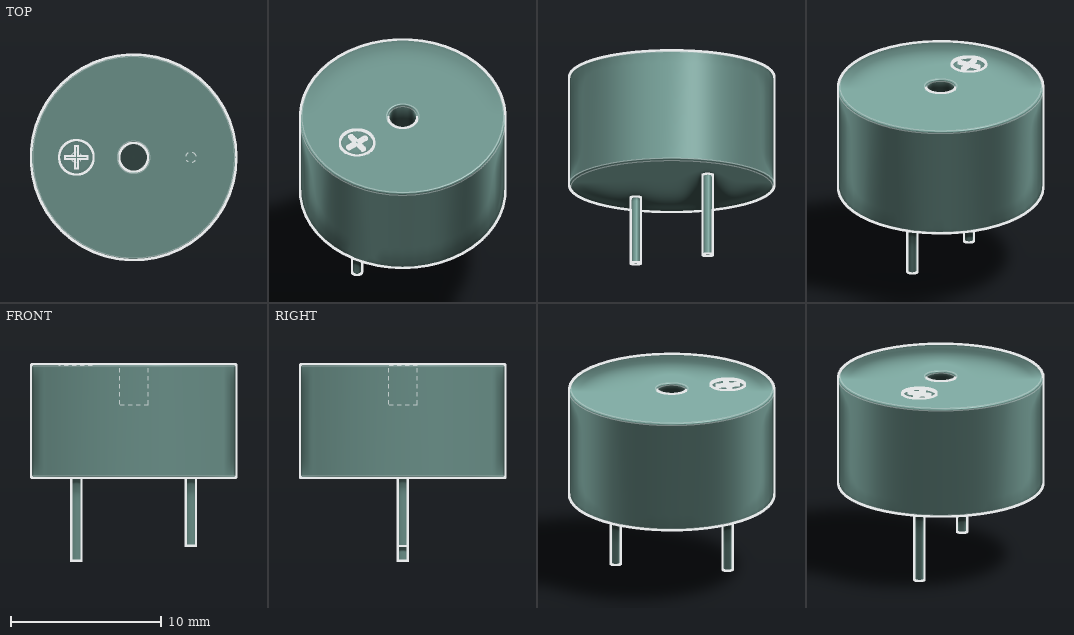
import cadquery as cq

body_diameter = 13.69
body_height = 7.6
body_edge_radius = 0.14

sound_hole_diameter = 1.92
sound_hole_depth = 2.74
sound_hole_edge_radius = 0.12

pin_diameter = 0.7
pin_offset = 3.8
long_pin_length = 5.49
short_pin_length = 4.5

mark_diameter = 2.3
mark_depth = 0.1
plus_length = 1.5
plus_width = 0.2


def make_body():
    body = cq.Workplane("XY").circle(body_diameter / 2).extrude(body_height)
    return body.edges().fillet(body_edge_radius)


def cut_sound_hole(body):
    """Cut the central blind hole and round its mouth."""
    top = cq.Workplane("XY", origin=(0, 0, body_height))
    body = body.cut(top.circle(sound_hole_diameter / 2).extrude(-sound_hole_depth))
    mouth_edge = cq.selectors.RadiusNthSelector(0)
    return body.faces(">Z").edges(mouth_edge).fillet(sound_hole_edge_radius)


def make_polarity_recess():
    """Recess around the plus sign, as a solid to cut away."""
    floor = cq.Workplane("XY", origin=(-pin_offset, 0, body_height - mark_depth))
    recess = floor.circle(mark_diameter / 2).extrude(mark_depth)
    for length_x, length_y in ((plus_length, plus_width), (plus_width, plus_length)):
        recess = recess.cut(floor.rect(length_x, length_y).extrude(mark_depth))
    return recess


def make_pin(x, length):
    return cq.Workplane("XY", origin=(x, 0, 0)).circle(pin_diameter / 2).extrude(-length)


result = cut_sound_hole(make_body()).cut(make_polarity_recess())
result = result.union(make_pin(-pin_offset, long_pin_length))
result = result.union(make_pin(pin_offset, short_pin_length))